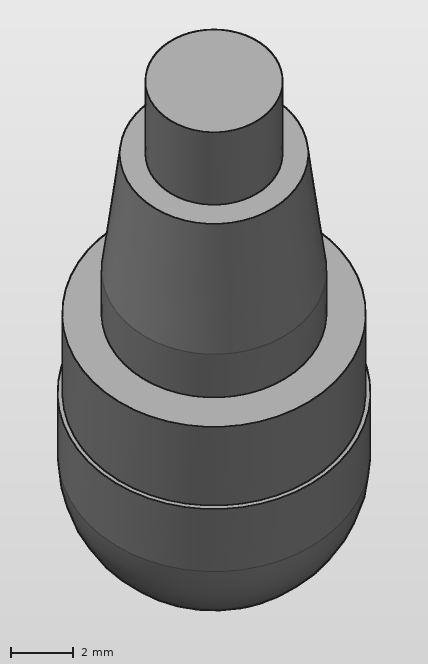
import cadquery as cq

total_height = 23.0
cap_top = 8.0
collar_top = 11.8
neck_top = 13.9
cone_top = 19.5

cap_diameter = 10.0
collar_diameter = 9.7
neck_diameter = 7.2
cone_top_diameter = 6.03
stem_diameter = 4.4


def make_cap():
    """Cylinder with a flat top and a hemispherical lower end."""
    radius = cap_diameter / 2
    cylinder = cq.Workplane("XY").workplane(offset=radius).circle(radius).extrude(cap_top - radius)
    dome = cq.Workplane("XY").sphere(radius, angle2=0).translate((0, 0, radius))
    return cylinder.union(dome)


def make_plug():
    """Stepped, turned body standing on the cap: collar, neck, cone and stem."""
    return (
        cq.Workplane("XZ")
        .moveTo(0, cap_top)
        .lineTo(collar_diameter / 2, cap_top)
        .lineTo(collar_diameter / 2, collar_top)
        .lineTo(neck_diameter / 2, collar_top)
        .lineTo(neck_diameter / 2, neck_top)
        .lineTo(cone_top_diameter / 2, cone_top)
        .lineTo(stem_diameter / 2, cone_top)
        .lineTo(stem_diameter / 2, total_height)
        .lineTo(0, total_height)
        .close()
        .revolve(360, (0, 0, 0), (0, 1, 0))
    )


cap = make_cap()
plug = make_plug()

result = cq.Compound.makeCompound([cap.val(), plug.val()])